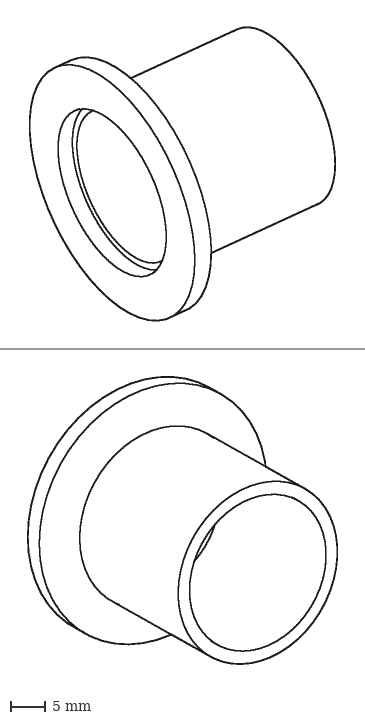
import cadquery as cq
import math

flange_diameter = 40.0
tube_diameter = 28.0
bore_diameter = 24.0
recess_diameter = 26.2
total_length = 30.0
rim_thickness = 3.0
recess_depth = 2.6
clamp_angle = 15.0

flange_radius = flange_diameter / 2
tube_radius = tube_diameter / 2
bore_radius = bore_diameter / 2
recess_radius = recess_diameter / 2
cone_height = (flange_radius - tube_radius) * math.tan(math.radians(clamp_angle))

half_section = (
    cq.Workplane("XY")
    .moveTo(recess_radius, 0)
    .lineTo(flange_radius, 0)
    .lineTo(flange_radius, rim_thickness)
    .lineTo(tube_radius, rim_thickness + cone_height)
    .lineTo(tube_radius, total_length)
    .lineTo(bore_radius, total_length)
    .lineTo(bore_radius, recess_depth)
    .lineTo(recess_radius, recess_depth)
    .close()
)

result = half_section.revolve(360, (0, 0, 0), (0, 1, 0))